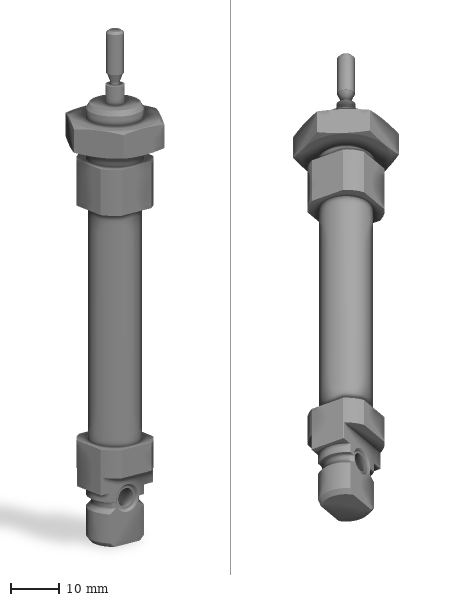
import cadquery as cq
import math

TOTAL_HEIGHT = 111.4
THREAD_DIA = 12.0
THREAD_END_DIA = 10.7
THREAD_CHAMFER_HEIGHT = 1.1
RELIEF_DIA = 10.0
RELIEF_CONE_HEIGHT = (THREAD_DIA - RELIEF_DIA) / 2

TUBE_DIA = 11.3
CAP_DIA = 16.0
CAP_FLATS = 14.0
REAR_SHOULDER_Z = 12.0
REAR_CAP_TOP_Z = 22.1
FRONT_CAP_BOTTOM_Z = 73.4
FRONT_CAP_TOP_Z = 83.4
FRONT_THREAD_TOP_Z = 95.6

LUG_THICKNESS = 8.0
LUG_TOP_Z = 15.9
REAR_END_DIA = 10.5
REAR_CHAMFER_HEIGHT = 1.0
GROOVE_TOP_Z = 9.9
GROOVE_CONE_BOTTOM_Z = 7.4
GROOVE_FILLET = 0.3
PIVOT_Z = 10.0
PIVOT_DIA = 4.0
PIVOT_COUNTERBORE_DIA = 5.0
PIVOT_COUNTERSINK_DIA = 6.0

NUT_BOTTOM_Z = 86.5
NUT_THICKNESS = 6.0
NUT_FLATS = 19.0
NUT_FACE_DIA = 18.7
NUT_CHAMFER_HEIGHT = 0.5

ROD_DIA = 4.0
ROD_THREAD_DIA = 3.7
ROD_TIP_CHAMFER = 0.5
ROD_NECK_DIA = 2.0
ROD_CONE_DIA = 3.5
ROD_THREAD_BOTTOM_Z = 102.2
ROD_CONE_BOTTOM_Z = 100.3
ROD_SHOULDER_Z = 99.6
ROD_BOTTOM_Z = FRONT_CAP_BOTTOM_Z


def cylinder(diameter, bottom, top):
    """Upright cylinder on the Z axis."""
    return cq.Workplane("XY").workplane(offset=bottom).circle(diameter / 2).extrude(top - bottom)


def turned(profile):
    """Solid of revolution about Z from (diameter, z) points listed bottom to top."""
    outline = [(0, profile[0][1])]
    outline += [(diameter / 2, z) for diameter, z in profile]
    outline += [(0, profile[-1][1])]
    return cq.Workplane("XZ").polyline(outline).close().revolve(360, (0, 0, 0), (0, 1, 0))


def end_cap(bottom, top):
    """Round cap with four flats facing X and Y."""
    height = top - bottom
    square = cq.Workplane("XY").workplane(offset=bottom).rect(CAP_FLATS, CAP_FLATS).extrude(height)
    return cylinder(CAP_DIA, bottom, top).intersect(square)


def front_thread():
    """Threaded nose with a relief just below the nut and a chamfered end."""
    return turned([
        (THREAD_DIA, FRONT_CAP_TOP_Z),
        (THREAD_DIA, NUT_BOTTOM_Z - RELIEF_CONE_HEIGHT),
        (RELIEF_DIA, NUT_BOTTOM_Z),
        (THREAD_DIA, NUT_BOTTOM_Z),
        (THREAD_DIA, FRONT_THREAD_TOP_Z - THREAD_CHAMFER_HEIGHT),
        (THREAD_END_DIA, FRONT_THREAD_TOP_Z),
    ])


def rear_spigot():
    """Round rear end with a chamfered bottom and a relief groove."""
    spigot = turned([
        (REAR_END_DIA, 0),
        (THREAD_DIA, REAR_CHAMFER_HEIGHT),
        (THREAD_DIA, GROOVE_CONE_BOTTOM_Z),
        (RELIEF_DIA, GROOVE_CONE_BOTTOM_Z + RELIEF_CONE_HEIGHT),
        (RELIEF_DIA, GROOVE_TOP_Z),
        (THREAD_DIA, GROOVE_TOP_Z),
        (THREAD_DIA, REAR_SHOULDER_Z),
    ])
    groove_floor = cq.selectors.BoxSelector(
        (-RELIEF_DIA, -RELIEF_DIA, GROOVE_CONE_BOTTOM_Z + RELIEF_CONE_HEIGHT / 2),
        (RELIEF_DIA, RELIEF_DIA, GROOVE_TOP_Z + GROOVE_FILLET),
    )
    floor_edges = spigot.edges("%CIRCLE").edges(groove_floor).edges(cq.selectors.RadiusNthSelector(0))
    return floor_edges.fillet(GROOVE_FILLET)


def lug_side_cuts():
    """Two blocks that thin the rear end to the lug thickness."""
    block_width = CAP_DIA / 2
    spacing = (LUG_THICKNESS + block_width) / 2
    return (
        cq.Workplane("XY")
        .pushPoints([(-spacing, 0), (spacing, 0)])
        .rect(block_width, CAP_DIA)
        .extrude(LUG_TOP_Z)
    )


def pivot_hole():
    """Hole along X through the lug, with a shallow stepped countersink on both faces."""
    hole_radius = PIVOT_DIA / 2
    step_radius = PIVOT_COUNTERBORE_DIA / 2
    mouth_radius = PIVOT_COUNTERSINK_DIA / 2
    face_x = LUG_THICKNESS / 2
    step_x = face_x - (mouth_radius - step_radius)
    outline = [
        (-face_x, 0), (-face_x, mouth_radius), (-step_x, step_radius), (-step_x, hole_radius),
        (step_x, hole_radius), (step_x, step_radius), (face_x, mouth_radius), (face_x, 0),
    ]
    hole = cq.Workplane("XY").polyline(outline).close().revolve(360, (0, 0, 0), (1, 0, 0))
    return hole.translate((0, 0, PIVOT_Z))


def make_housing():
    tube = cylinder(TUBE_DIA, REAR_CAP_TOP_Z, FRONT_CAP_BOTTOM_Z)
    return (
        rear_spigot()
        .union(end_cap(REAR_SHOULDER_Z, REAR_CAP_TOP_Z))
        .union(tube)
        .union(end_cap(FRONT_CAP_BOTTOM_Z, FRONT_CAP_TOP_Z))
        .union(front_thread())
        .cut(lug_side_cuts())
        .cut(pivot_hole())
        .cut(cylinder(ROD_DIA, ROD_BOTTOM_Z, FRONT_THREAD_TOP_Z))
    )


def make_nut():
    """Hexagon nut with corners on Y, chamfered on both faces."""
    corner_dia = NUT_FLATS / math.cos(math.pi / 6)
    top = NUT_BOTTOM_Z + NUT_THICKNESS
    hexagon = (
        cq.Workplane("XY").workplane(offset=NUT_BOTTOM_Z)
        .transformed(rotate=(0, 0, 90))
        .polygon(6, corner_dia).extrude(NUT_THICKNESS)
    )
    chamfer_envelope = turned([
        (NUT_FACE_DIA, NUT_BOTTOM_Z),
        (corner_dia, NUT_BOTTOM_Z + NUT_CHAMFER_HEIGHT),
        (corner_dia, top - NUT_CHAMFER_HEIGHT),
        (NUT_FACE_DIA, top),
    ])
    return hexagon.intersect(chamfer_envelope).cut(cylinder(THREAD_DIA, NUT_BOTTOM_Z, top))


def make_piston_rod():
    """Piston rod with a narrow neck below its threaded tip."""
    return turned([
        (ROD_DIA, ROD_BOTTOM_Z),
        (ROD_DIA, ROD_SHOULDER_Z),
        (ROD_NECK_DIA, ROD_SHOULDER_Z),
        (ROD_NECK_DIA, ROD_CONE_BOTTOM_Z),
        (ROD_CONE_DIA, ROD_THREAD_BOTTOM_Z),
        (ROD_THREAD_DIA, ROD_THREAD_BOTTOM_Z),
        (ROD_THREAD_DIA, TOTAL_HEIGHT - ROD_TIP_CHAMFER),
        (ROD_THREAD_DIA - 2 * ROD_TIP_CHAMFER, TOTAL_HEIGHT),
    ])


housing = make_housing()
nut = make_nut()
piston_rod = make_piston_rod()

result = cq.Compound.makeCompound([housing.val(), nut.val(), piston_rod.val()])